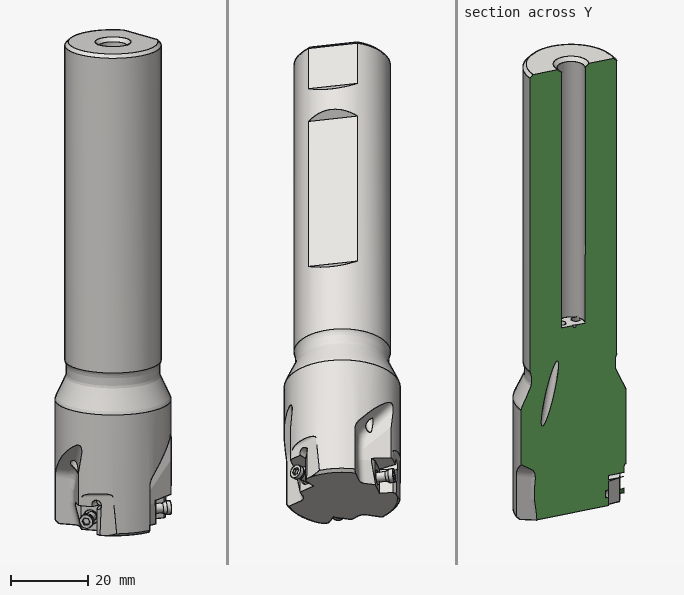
import cadquery as cq
import math

total_length = 129.0
head_radius = 15.1
shank_radius = 12.5
neck_radius = 12.1
cone_top_radius = 12.3
shoulder_radius = 14.8

face_chamfer = 0.8
shoulder_start_z = 32.8
cone_start_z = 33.5
cone_end_z = 39.1
neck_start_z = 39.7
neck_end_z = 41.8
shank_relief_z = 42.5
shank_start_z = 43.3
shank_chamfer = 0.9

flat_y = 10.7
lower_flat_z = 61.9
ridge_bottom_z = 108.3
ridge_top_z = 114.4

bore_radius = 3.6
bore_chamfer = 1.0
bore_end_z = 54.2
branch_radius = 1.2
branch_start_offset = 2.3
branch_start_depth = 1.3
branch_outlet = cq.Vector(9.4, -8.0, 15.1)

flute_angles = [60, 180, 300]
beyond = 18.0
below = -3.9
tilted_start = -18.0
tilted_end = 54.2

gullet_floor = 6.5
gullet_corner_radius = 2.0
wall_foot_x = 8.1
wall_foot_y = -8.0
main_wall_slope = 0.47
upper_wall_slope = 0.28
wall_middle = (11.6, -5.2, 11.6)
upper_wall_tilt = -9.4
upper_wall_pivot_z = 9.9
lower_wall_tilt = 14.0
lower_wall_pivot_z = 6.0
ramp_start_z = 13.9
ramp_angle = 37.4
ramp_blend_radius = 4.6

land_distance = 14.2
land_slope = 0.03
land_top_z = 11.6
land_tilt = 5.0
land_blend_radius = 1.3

seat_distance = 10.0
seat_front_y = -5.7
seat_back_y = -0.8
seat_bevel_depth = 1.0
seat_bevel_width = 2.7
back_wall_top = 13.5
back_wall_slope = 0.1
back_bevel_slope = 1.6
pocket_top_z = 7.0
pocket_top_slope = 0.15
corner_relief_radius = 1.3
corner_relief_y = -0.3
corner_relief_z = 8.1

screw_y = -3.1
screw_z = 3.5
screw_end = 14.5
screw_head_radius = 1.8
screw_head_height = 1.2
screw_cone_height = 0.9
screw_shaft_radius = 1.3
screw_tip = 5.8
socket_width = 2.0
socket_depth = 0.8
screw_counterbore_radius = 1.9
screw_counterbore_depth = 0.8


def at_flute(shape, angle):
    """Turn a shape from the flute's own frame to its place around the tool."""
    return shape.rotate((0, 0, 0), (0, 0, 1), angle)


def radial_cylinder(radius, start, end, y, z):
    """Cylinder along X, from one distance off the tool axis to another."""
    plane = cq.Plane(origin=(start, y, z), xDir=(0, 1, 0), normal=(1, 0, 0))
    return cq.Workplane(plane).circle(radius).extrude(end - start)


def turned_blank():
    outline = [
        (0, 0),
        (head_radius - face_chamfer, 0),
        (head_radius, face_chamfer),
        (head_radius, shoulder_start_z),
        (shoulder_radius, cone_start_z),
        (cone_top_radius, cone_end_z),
        (neck_radius, neck_start_z),
        (neck_radius, neck_end_z),
        (cone_top_radius, shank_relief_z),
        (shank_radius, shank_start_z),
        (shank_radius, total_length),
        (0, total_length),
    ]
    return cq.Workplane("XZ").polyline(outline).close().revolve(360, (0, 0), (0, 1))


def clamping_flats():
    """Two flats with 45 degree ends, parted by a ridge of the full shank radius."""
    rise = shank_radius - flat_y
    outer_y = shank_radius
    lower = [
        (outer_y, lower_flat_z),
        (flat_y, lower_flat_z + rise),
        (flat_y, ridge_bottom_z - rise),
        (outer_y, ridge_bottom_z),
    ]
    upper = [
        (outer_y, ridge_top_z),
        (flat_y, ridge_top_z + rise),
        (flat_y, total_length),
        (outer_y, total_length),
    ]
    lower_cut = cq.Workplane("YZ").polyline(lower).close().extrude(shank_radius, both=True)
    upper_cut = cq.Workplane("YZ").polyline(upper).close().extrude(shank_radius, both=True)
    return lower_cut.union(upper_cut)


def coolant_bore():
    bore = cq.Workplane("XY").workplane(offset=bore_end_z).circle(bore_radius)
    bore = bore.extrude(total_length - bore_end_z)
    mouth_base = cq.Vector(0, 0, total_length - bore_chamfer)
    mouth = cq.Solid.makeCone(bore_radius, bore_radius + bore_chamfer, bore_chamfer, mouth_base)
    return bore.union(cq.Workplane(mouth))


def gullet_prism(wall_slope, tilt, pivot_z):
    """Space over the gullet floor and in front of a wall that leans about the pivot height."""
    def wall_y(x):
        return wall_foot_y + wall_slope * (x - wall_foot_x)

    outline = [
        (gullet_floor, -beyond),
        (beyond, -beyond),
        (beyond, wall_y(beyond)),
        (gullet_floor, wall_y(gullet_floor)),
    ]
    prism = cq.Workplane("XY").workplane(offset=tilted_start).polyline(outline).close()
    prism = prism.extrude(tilted_end - tilted_start)
    return prism.rotate((0, wall_foot_y, pivot_z), (1, wall_foot_y, pivot_z), tilt)


def gullet_runout():
    """Space outside the gullet floor and below the ramp that ends the gullet."""
    ramp_end_z = ramp_start_z + (beyond - gullet_floor) / math.tan(math.radians(ramp_angle))
    outline = [
        (gullet_floor, below),
        (gullet_floor, ramp_start_z),
        (beyond, ramp_end_z),
        (beyond, below),
    ]
    return cq.Workplane("XZ").polyline(outline).close().extrude(2 * beyond, both=True)


def gullet_pass(wall_slope, tilt, pivot_z):
    """One gullet cut, with its floor, wall and ramp blended into each other."""
    space = gullet_prism(wall_slope, tilt, pivot_z).intersect(gullet_runout())
    space = space.faces("<X").edges(">Z").fillet(ramp_blend_radius)
    inside_edges = cq.selectors.BoxSelector(
        (gullet_floor - 1.3, -beyond, below + 1.3), (beyond - 1.3, beyond, 2 * beyond)
    )
    wall = space.faces(cq.selectors.NearestToPointSelector(wall_middle))
    return wall.edges(inside_edges).fillet(gullet_corner_radius)


def gullet():
    """Three passes: an upright main wall, and walls leaning back above and below it."""
    walls = gullet_pass(main_wall_slope, 0, 0)
    walls = walls.union(gullet_pass(upper_wall_slope, upper_wall_tilt, upper_wall_pivot_z))
    return walls.union(gullet_pass(main_wall_slope, lower_wall_tilt, lower_wall_pivot_z))


def outer_land():
    """Land around the insert pocket, blended out to the head's surface at its sloping top."""
    blend_start_z = land_top_z - land_blend_radius
    blend_start_x = land_distance + land_slope * blend_start_z
    blend_end_x = blend_start_x + land_blend_radius
    land = (
        cq.Workplane("XZ")
        .moveTo(land_distance + land_slope * below, below)
        .lineTo(blend_start_x, blend_start_z)
        .radiusArc((blend_end_x, land_top_z), land_blend_radius)
        .lineTo(blend_end_x, below)
        .close()
        .extrude(beyond / 2, both=True)
    )
    return land.rotate((0, 0, land_top_z), (1, 0, land_top_z), land_tilt)


def insert_pocket():
    bevel_y = seat_front_y - seat_bevel_width
    wall_top_y = seat_back_y + back_wall_slope * (back_wall_top - seat_distance)
    plan = [
        (seat_distance - seat_bevel_depth, bevel_y),
        (seat_distance, seat_front_y),
        (seat_distance, seat_back_y),
        (back_wall_top, wall_top_y),
        (beyond, wall_top_y + back_bevel_slope * (beyond - back_wall_top)),
        (beyond, bevel_y),
    ]
    side = [
        (0, below),
        (0, pocket_top_z - pocket_top_slope * seat_distance),
        (beyond, pocket_top_z + pocket_top_slope * (beyond - seat_distance)),
        (beyond, below),
    ]
    pocket = cq.Workplane("XY").workplane(offset=below).polyline(plan).close().extrude(beyond)
    pocket = pocket.intersect(cq.Workplane("XZ").polyline(side).close().extrude(beyond, both=True))
    relief = radial_cylinder(corner_relief_radius, seat_distance, beyond, corner_relief_y, corner_relief_z)
    return pocket.union(relief)


def screw_hole():
    hole = radial_cylinder(screw_shaft_radius, screw_tip, beyond, screw_y, screw_z)
    counterbore_end = seat_distance - screw_counterbore_depth
    counterbore = radial_cylinder(
        screw_counterbore_radius, counterbore_end, seat_distance, screw_y, screw_z
    )
    return hole.union(counterbore)


def coolant_branch():
    """Slanting hole from the foot of the bore to the gullet wall."""
    start = cq.Vector(0, -branch_start_offset, bore_end_z + branch_start_depth)
    path = branch_outlet - start
    return cq.Workplane(cq.Solid.makeCylinder(branch_radius, path.Length, start, path))


def make_holder():
    holder = turned_blank().cut(clamping_flats())
    holder = holder.faces(">Z").chamfer(shank_chamfer)
    holder = holder.cut(coolant_bore())
    for cutter in [gullet(), outer_land(), insert_pocket(), screw_hole(), coolant_branch()]:
        for angle in flute_angles:
            holder = holder.cut(at_flute(cutter, angle))
    return holder


def make_screw():
    """Insert screw with a countersunk head and a hexagon socket, pointing inward."""
    head_under = screw_end - screw_head_height
    cone_end = head_under - screw_cone_height
    outline = [
        (screw_tip, 0),
        (screw_tip, screw_shaft_radius),
        (cone_end, screw_shaft_radius),
        (head_under, screw_head_radius),
        (screw_end, screw_head_radius),
        (screw_end, 0),
    ]
    screw = cq.Workplane("XY").polyline(outline).close().revolve(360, (0, 0), (1, 0))
    socket = cq.Workplane("YZ").workplane(offset=screw_end - socket_depth)
    socket = socket.polygon(6, socket_width).extrude(socket_depth)
    return screw.cut(socket).translate((0, screw_y, screw_z))


holder = make_holder()
screws = [at_flute(make_screw(), angle) for angle in flute_angles]

result = cq.Compound.makeCompound([holder.val(), *[screw.val() for screw in screws]])